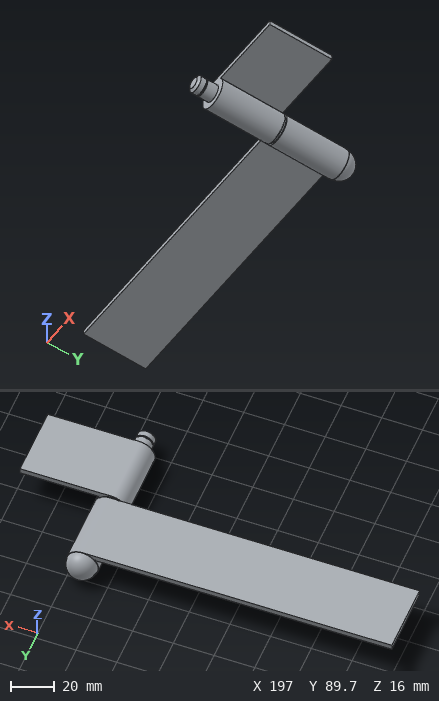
import cadquery as cq
import math

knuckle_diameter = 16.0
leaf_thickness = 3.0
leaf_width = 35.0
long_leaf_reach = 152.0
short_leaf_reach = 45.0

washer_diameter = 14.2
washer_thickness = 1.2

pin_diameter = 9.0
pin_tail_length = 10.8
tip_chamfer_radial = 1.5
tip_chamfer_axial = 1.2
groove_width = 0.69
groove_depth = 0.69
groove_distance = 6.3
dome_diameter = 15.4

knuckle_radius = knuckle_diameter / 2
pin_radius = pin_diameter / 2

short_leaf_front = 0.0
washer_front = short_leaf_front + leaf_width
long_leaf_front = washer_front + washer_thickness
long_leaf_back = long_leaf_front + leaf_width


def cylinder_along_y(radius, front, length):
    """Solid cylinder on the pin axis, starting at front and growing toward +Y."""
    return cq.Workplane("XZ", origin=(0, front, 0)).circle(radius).extrude(-length)


def make_leaf(reach, front):
    """Flat plate tangent to the top of its bored knuckle; the sign of reach sets its side."""
    plate = (
        cq.Workplane("XY", origin=(0, front, knuckle_radius - leaf_thickness))
        .rect(reach, leaf_width, centered=False)
        .extrude(leaf_thickness)
    )
    knuckle = cylinder_along_y(knuckle_radius, front, leaf_width)
    bore = cylinder_along_y(pin_radius, front, leaf_width)
    return plate.union(knuckle).cut(bore)


def make_washer():
    """Spacer ring between the two knuckles."""
    ring = cylinder_along_y(washer_diameter / 2, washer_front, washer_thickness)
    return ring.cut(cylinder_along_y(pin_radius, washer_front, washer_thickness))


def make_pin():
    """Turned pin with a chamfered tip, a retaining groove and a domed head."""
    tip = short_leaf_front - pin_tail_length
    groove_front = short_leaf_front - groove_distance - groove_width / 2
    groove_back = groove_front + groove_width
    groove_radius = pin_radius - groove_depth
    dome_radius = dome_diameter / 2

    dome_middle = (
        dome_radius * math.sqrt(0.5),
        long_leaf_back + dome_radius * math.sqrt(0.5),
    )
    profile = (
        cq.Workplane("XY")
        .moveTo(0, tip)
        .lineTo(pin_radius - tip_chamfer_radial, tip)
        .lineTo(pin_radius, tip + tip_chamfer_axial)
        .lineTo(pin_radius, groove_front)
        .lineTo(groove_radius, groove_front)
        .lineTo(groove_radius, groove_back)
        .lineTo(pin_radius, groove_back)
        .lineTo(pin_radius, long_leaf_back)
        .lineTo(dome_radius, long_leaf_back)
        .threePointArc(dome_middle, (0, long_leaf_back + dome_radius))
        .close()
    )
    return profile.revolve(360, (0, 0, 0), (0, 1, 0))


short_leaf = make_leaf(short_leaf_reach, short_leaf_front)
long_leaf = make_leaf(-long_leaf_reach, long_leaf_front)
washer = make_washer()
pin = make_pin()

result = cq.Compound.makeCompound([short_leaf.val(), long_leaf.val(), washer.val(), pin.val()])